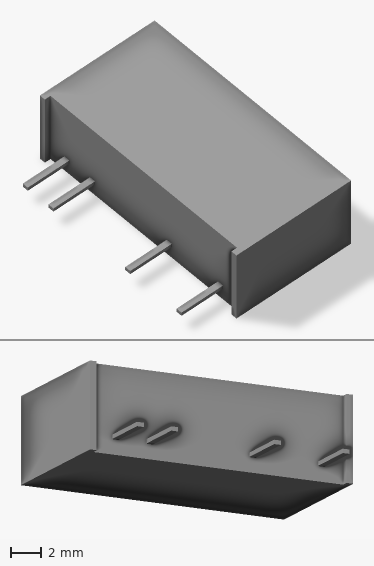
import cadquery as cq

case_length = 19.5
case_depth = 10.2
case_height = 6.1
rib_width = 0.5
rib_height = 0.5

pin_pitch = 2.54
pin_steps = (-3, -2, 1, 3)
pin_width = 0.5
pin_thickness = 0.3
pin_reach = 3.2
pin_center_z = 1.2

pin_length = pin_reach + rib_height


def make_case():
    """Solid block with a shallow recess between the two end ribs."""
    block = cq.Workplane("XY").box(
        case_length, case_depth, case_height, centered=(True, False, False)
    )
    recess = cq.Workplane("XY").box(
        case_length - 2 * rib_width, rib_height, case_height, centered=(True, False, False)
    )
    return block.cut(recess)


def make_pin(x):
    """Flat pin from the recess floor out past the seating plane."""
    pin = cq.Workplane("XY").box(
        pin_width, pin_length, pin_thickness, centered=(True, False, True)
    )
    return pin.translate((x, -pin_reach, pin_center_z))


result = make_case()
for step in pin_steps:
    result = result.union(make_pin(step * pin_pitch))